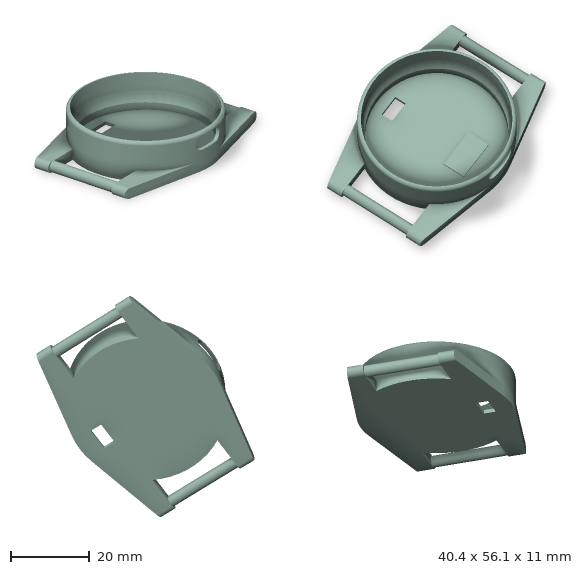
import cadquery as cq
import math

case_radius = 40.4 / 2
cavity_radius = 38.4 / 2
bore_radius = 36.4 / 2
case_height = 11.0
bore_height = 3.0
cove_height = 3.0
rim_rounding = case_radius - cavity_radius

opening_length = 10.0
opening_height = 4.0
opening_center_z = 8.0

lug_reach = 27.985
lug_gap = 20.0
lug_tip_x = 14.3
lug_thickness = 3.0
bar_diameter = 3.0
bar_reach = 25.82
back_pair_turn = 0.4
strap_ends = {"front": 180.0, "back": back_pair_turn}

plate_radius = bore_radius
plate_top_radius = 36.0 / 2
plate_step_height = 0.5
plate_thickness = 1.0
window_size = (3.2, 6.0)
window_center = (-13.4, 0.15)
pad_size = (6.2, 11.0)
pad_center = (9.1, 0.0)
pad_height = 0.3


def make_lug():
    """Lug at +X, +Y: its outer side is tangent to the case, its tip is fully rounded."""
    tip_distance = math.hypot(lug_tip_x, lug_reach)
    tangent_angle = math.atan2(lug_reach, lug_tip_x) - math.acos(case_radius / tip_distance)
    tangent_x = case_radius * math.cos(tangent_angle)
    tangent_y = case_radius * math.sin(tangent_angle)
    inner_x = lug_gap / 2
    blank = (
        cq.Workplane("XY")
        .polyline([
            (inner_x, tangent_y),
            (tangent_x, tangent_y),
            (lug_tip_x, lug_reach),
            (inner_x, lug_reach),
        ])
        .close()
        .extrude(lug_thickness)
    )
    tip_radius = lug_thickness / 2
    side_profile = (
        cq.Workplane("YZ")
        .moveTo(0, 0)
        .lineTo(lug_reach - tip_radius, 0)
        .threePointArc((lug_reach, tip_radius), (lug_reach - tip_radius, lug_thickness))
        .lineTo(0, lug_thickness)
        .close()
        .extrude(case_radius)
    )
    return blank.intersect(side_profile)


def make_cavity():
    """Bore, concave cove and cavity wall; the cove runs smoothly into the cavity wall."""
    step = cavity_radius - bore_radius
    cove_radius = (cove_height**2 + step**2) / (2 * step)
    cove_top = bore_height + cove_height
    half_angle = math.asin(cove_height / cove_radius) / 2
    cove_middle = (
        cavity_radius - cove_radius * (1 - math.cos(half_angle)),
        cove_top - cove_radius * math.sin(half_angle),
    )
    return (
        cq.Workplane("XZ")
        .moveTo(0, 0)
        .lineTo(bore_radius, 0)
        .lineTo(bore_radius, bore_height)
        .threePointArc(cove_middle, (cavity_radius, cove_top))
        .lineTo(cavity_radius, case_height)
        .lineTo(0, case_height)
        .close()
        .revolve(360, (0, 0, 0), (0, 1, 0))
    )


def make_case():
    """Round case with four lugs, hollowed out, with a slot-shaped side opening."""
    shoulder = case_height - rim_rounding
    rim_middle = (
        cavity_radius + rim_rounding * math.sqrt(0.5),
        shoulder + rim_rounding * math.sqrt(0.5),
    )
    case = (
        cq.Workplane("XZ")
        .moveTo(0, 0)
        .lineTo(case_radius, 0)
        .lineTo(case_radius, shoulder)
        .threePointArc(rim_middle, (cavity_radius, case_height))
        .lineTo(0, case_height)
        .close()
        .revolve(360, (0, 0, 0), (0, 1, 0))
    )
    lug = make_lug()
    for turn in strap_ends.values():
        for side_lug in (lug, lug.mirror("YZ")):
            case = case.union(side_lug.rotate((0, 0, 0), (0, 0, 1), turn))
    opening = (
        cq.Workplane("YZ")
        .center(0, opening_center_z)
        .slot2D(opening_length, opening_height)
        .extrude(case_radius)
    )
    return case.cut(make_cavity()).cut(opening)


def make_bar(turn):
    """Strap bar between the inner faces of one pair of lugs."""
    bar = (
        cq.Workplane("YZ", origin=(-lug_gap / 2, 0, 0))
        .center(bar_reach, lug_thickness / 2)
        .circle(bar_diameter / 2)
        .extrude(lug_gap)
    )
    return bar.rotate((0, 0, 0), (0, 0, 1), turn)


def make_base_plate():
    """Stepped disc in the bore, with a rectangular window and a low raised pad."""
    lower_disc = cq.Workplane("XY").circle(plate_radius).extrude(plate_step_height)
    upper_disc = cq.Workplane("XY").circle(plate_top_radius).extrude(plate_thickness)
    pad = (
        cq.Workplane("XY")
        .center(*pad_center)
        .rect(*pad_size)
        .extrude(plate_thickness + pad_height)
    )
    window = (
        cq.Workplane("XY")
        .center(*window_center)
        .rect(*window_size)
        .extrude(plate_thickness)
    )
    return lower_disc.union(upper_disc).union(pad).cut(window)


case = make_case()
base_plate = make_base_plate()
bars = [make_bar(turn) for turn in strap_ends.values()]

result = cq.Compound.makeCompound([
    case.val(),
    base_plate.val(),
    *[bar.val() for bar in bars],
])